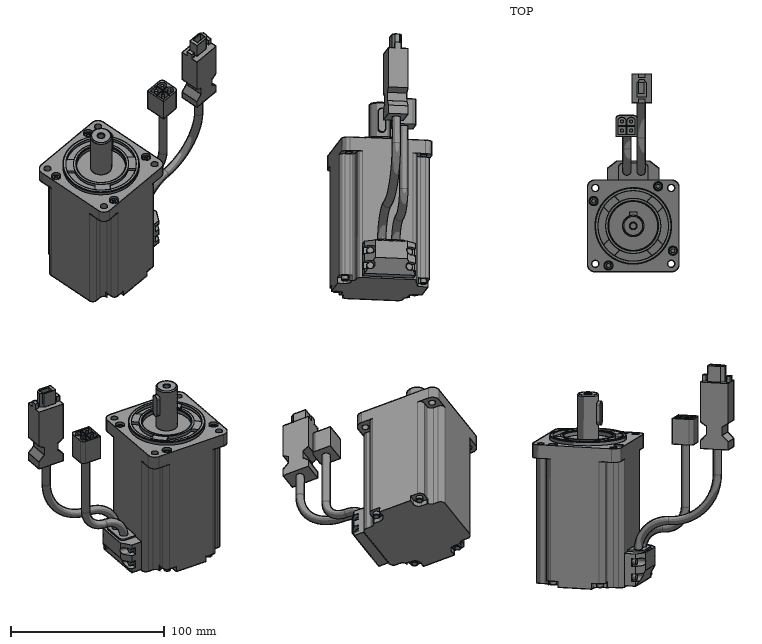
import cadquery as cq
import math


BODY_SIZE = 60.0
HALF_BODY = BODY_SIZE / 2
FLANGE_TOP = 94.0
FLANGE_THICKNESS = 9.0
FLANGE_BOTTOM = FLANGE_TOP - FLANGE_THICKNESS
FLANGE_CORNER_RADIUS = 5.0
MOUNT_CIRCLE_DIA = 70.0
MOUNT_HOLE_DIA = 4.5
MOUNT_OFFSET = MOUNT_CIRCLE_DIA / 2 * math.sqrt(0.5)
CORNER_ARC_RADIUS = 10.0 / 3

SCREW_OFFSET_LONG = 25.85
SCREW_OFFSET_SHORT = 16.2
CAP_SCREW_BORE_DIA = 6.0
CAP_SCREW_BORE_DEPTH = 5.0
CAP_SCREW_HEAD_DIA = 5.5
CAP_SCREW_HEAD_HEIGHT = 3.5
SCREW_HEAD_CHAMFER = 0.4
HEX_SIZE = 2.5
HEX_DEPTH = 1.3

PILOT_DIA = 50.0
PILOT_HEIGHT = 2.5
PILOT_TOP = FLANGE_TOP + PILOT_HEIGHT
PILOT_CHAMFER = 0.4
GROOVE_OUTER_DIA = 46.0
GROOVE_INNER_DIA = 36.0
GROOVE_DEPTH = 2.3
PAD_WIDTH = 10.0
PAD_DROP = 0.2
RECESS_DIA = 32.0
RECESS_DEPTH = 3.0
RECESS_CHAMFER = 0.5

SHAFT_DIA = 14.0
SHAFT_LENGTH = 30.0
SHAFT_TOP = FLANGE_TOP + SHAFT_LENGTH
SHAFT_CHAMFER = 0.8
TAP_DIA = 4.13
TAP_MOUTH_DIA = 5.0
TAP_DEPTH = 15.0
KEY_SIZE = 5.0
KEY_LENGTH = 16.0
KEY_OUTER_Y = 9.0
KEY_TOP = SHAFT_TOP - 4.5

REAR_NOTCH_HEIGHT = 3.85
REAR_NOTCH_X = 22.0
REAR_NOTCH_Y_NEAR = 11.5
REAR_NOTCH_Y_FAR = 20.0
REAR_NOTCH_RADIUS = 4.0
REAR_SCREW_X = 26.0
REAR_SCREW_Y = 16.0
REAR_SCREW_DIA = 4.5
REAR_SCREW_BOTTOM = 0.9

BOX_HALF_WIDTH = 16.9
BOX_OUTER_Y = 42.5
BOX_CHAMFER_X = 6.3
BOX_CHAMFER_Y = 4.9
BOX_BOTTOM = 1.0
BOX_TOP = 22.5
BOX_SLOPE_HEIGHT = 9.8
OUTLET_HALF_WIDTH = 9.7
OUTLET_OUTER_Y = 40.9
OUTLET_TOP = 23.6
OUTLET_CORNER_RADIUS = 3.0
BOX_SCREW_Z = (6.6, 16.7)
BOX_SCREW_X = 12.9
BOX_SLOT_WIDTH = 5.0
BOX_SLOT_FLOOR_Y = 34.6
BOX_SCREW_DIA = 4.5
BOX_SCREW_HEIGHT = 2.4

CABLE_DIA = 5.5
CABLE_START_Y = 35.7
CABLE_START_Z = 22.2
CONNECTOR_BOTTOM = FLANGE_TOP
POWER_CABLE_X = -4.15
POWER_BEND_RADIUS = 14.5
POWER_RISE_RADIUS = 15.0
ENCODER_CABLE_X = 5.15
ENCODER_BEND_RADIUS = 21.5
ENCODER_RISE_RADIUS = 32.5

POWER_X = -4.4
POWER_Y = 65.2
POWER_SIZE = 14.0
POWER_HEIGHT = 17.0
POWER_CORNER_RADIUS = 2.5
CAVITY_SIZE = 5.4
CAVITY_PITCH = 6.0
CAVITY_DEPTH = 8.0
PIN_DIA = 2.0

ENCODER_X = 5.55
ENCODER_WIDTH = 13.0
ENCODER_OUTER_Y = 99.15
ENCODER_DEPTH = 18.9
ENCODER_Y = ENCODER_OUTER_Y - ENCODER_DEPTH / 2
ENCODER_TOP = 138.1
WAIST_INSET = 4.1
WAIST_LOWER_START = 99.5
WAIST_LOWER_END = 103.5
WAIST_UPPER_START = 109.0
WAIST_UPPER_END = 111.7
TAB_WIDTH = 4.1
TAB_THICKNESS = 2.4
TAB_HEIGHT = 3.9
PLUG_WIDTH = 6.3
PLUG_Y_MIN = 84.1
PLUG_Y_MAX = 95.4
PLUG_TOP = 148.5
PLUG_CHAMFER_X = 1.7
PLUG_CHAMFER_Y = 2.4
SOCKET_X = 5.3
SOCKET_WIDTH = 3.7
SOCKET_Y_MIN = 86.3
SOCKET_Y_MAX = 93.5
SOCKET_DEPTH = 8.0


def box(x_range, y_range, z_range):
    """Axis-aligned block between the given limits."""
    (x0, x1), (y0, y1), (z0, z1) = x_range, y_range, z_range
    return cq.Workplane("XY", origin=(x0, y0, z0)).box(x1 - x0, y1 - y0, z1 - z0, centered=False)


def cylinder(x, y, dia, bottom, top):
    """Upright cylinder between two heights."""
    return cq.Workplane("XY", origin=(x, y, bottom)).circle(dia / 2).extrude(top - bottom)


def square_points(half_x, half_y):
    """The four points at the corners of a centred rectangle."""
    return [(sx * half_x, sy * half_y) for sx in (-1, 1) for sy in (-1, 1)]


def corner_scallop(top):
    """Material removed from the (+X, +Y) edge of the body: two rounded lips and a rounded valley."""
    r = CORNER_ARC_RADIUS
    bulge = r * math.sqrt(0.5)
    edge = HALF_BODY
    lip = edge - r
    valley = edge - 2 * r
    shoulder = edge - 3 * r
    root = edge - 4 * r
    outside = edge + r
    return (
        cq.Workplane("XY")
        .moveTo(outside, root)
        .lineTo(edge, root)
        .threePointArc((lip + bulge, root + bulge), (lip, shoulder))
        .lineTo(valley, shoulder)
        .threePointArc((valley - bulge, valley - bulge), (shoulder, valley))
        .lineTo(shoulder, lip)
        .threePointArc((root + bulge, lip + bulge), (root, edge))
        .lineTo(root, outside)
        .lineTo(outside, outside)
        .close()
        .extrude(top)
    )


def make_body():
    """Square body with a mounting flange at its top and scalloped edges below the flange."""
    body = cq.Workplane("XY").rect(BODY_SIZE, BODY_SIZE).extrude(FLANGE_TOP)
    body = body.edges("|Z").fillet(FLANGE_CORNER_RADIUS)
    scallop = corner_scallop(FLANGE_BOTTOM)
    for quarter in range(4):
        body = body.cut(scallop.rotate((0, 0, 0), (0, 0, 1), 90 * quarter))
    for x, y in square_points(MOUNT_OFFSET, MOUNT_OFFSET):
        body = body.cut(cylinder(x, y, MOUNT_HOLE_DIA, FLANGE_BOTTOM, FLANGE_TOP))
    return body


def add_cap_screws(body):
    """Four socket-head screws sunk in the flange face."""
    floor = FLANGE_TOP - CAP_SCREW_BORE_DEPTH
    head_top = floor + CAP_SCREW_HEAD_HEIGHT
    hex_corner_dia = HEX_SIZE / math.cos(math.pi / 6)
    x, y = SCREW_OFFSET_SHORT, SCREW_OFFSET_LONG
    bore = cylinder(x, y, CAP_SCREW_BORE_DIA, floor, FLANGE_TOP)
    head = cylinder(x, y, CAP_SCREW_HEAD_DIA, floor, head_top).faces(">Z").chamfer(SCREW_HEAD_CHAMFER)
    socket = cq.Workplane("XY", origin=(x, y, head_top)).polygon(6, hex_corner_dia).extrude(-HEX_DEPTH)
    socket = socket.rotate((x, y, 0), (x, y, 1), 90)
    bore = bore.cut(head.cut(socket))
    for quarter in range(4):
        body = body.cut(bore.rotate((0, 0, 0), (0, 0, 1), 90 * quarter))
    return body


def add_pilot(body):
    """Centring rim with a ring groove, four pads bridging the groove, and a central recess."""
    pilot = cylinder(0, 0, PILOT_DIA, FLANGE_TOP, PILOT_TOP).faces(">Z").chamfer(PILOT_CHAMFER)
    body = body.union(pilot)
    groove = (
        cq.Workplane("XY", origin=(0, 0, PILOT_TOP))
        .circle(GROOVE_OUTER_DIA / 2)
        .circle(GROOVE_INNER_DIA / 2)
        .extrude(-GROOVE_DEPTH)
    )
    for angle in (45, 135):
        pad = (
            cq.Workplane("XY", origin=(0, 0, PILOT_TOP - GROOVE_DEPTH))
            .rect(PILOT_DIA, PAD_WIDTH)
            .extrude(GROOVE_DEPTH - PAD_DROP)
            .rotate((0, 0, 0), (0, 0, 1), angle)
        )
        groove = groove.cut(pad)
    recess_floor = PILOT_TOP - RECESS_DEPTH
    recess = cylinder(0, 0, RECESS_DIA, recess_floor, PILOT_TOP)
    mouth_radius = RECESS_DIA / 2 + RECESS_CHAMFER
    mouth = cq.Solid.makeCone(
        mouth_radius, RECESS_DIA / 2, RECESS_CHAMFER, cq.Vector(0, 0, PILOT_TOP), cq.Vector(0, 0, -1)
    )
    return body.cut(groove).cut(recess).cut(cq.Workplane(mouth))


def make_shaft():
    """Keyed shaft with a tapped hole in its end."""
    shaft = cylinder(0, 0, SHAFT_DIA, FLANGE_BOTTOM, SHAFT_TOP).faces(">Z").chamfer(SHAFT_CHAMFER)
    shaft = shaft.cut(cylinder(0, 0, TAP_DIA, SHAFT_TOP - TAP_DEPTH, SHAFT_TOP))
    mouth_depth = (TAP_MOUTH_DIA - TAP_DIA) / 2
    mouth = cq.Solid.makeCone(
        TAP_MOUTH_DIA / 2, TAP_DIA / 2, mouth_depth, cq.Vector(0, 0, SHAFT_TOP), cq.Vector(0, 0, -1)
    )
    key = (
        cq.Workplane("XZ", origin=(0, KEY_OUTER_Y, KEY_TOP - KEY_LENGTH / 2))
        .slot2D(KEY_LENGTH, KEY_SIZE, 90)
        .extrude(KEY_SIZE)
    )
    return shaft.cut(cq.Workplane(mouth)).union(key)


def add_rear_screws(body):
    """Screw heads standing in notches that break out of the rear corners."""
    notch = box(
        (REAR_NOTCH_X, HALF_BODY), (REAR_NOTCH_Y_NEAR, REAR_NOTCH_Y_FAR), (0, REAR_NOTCH_HEIGHT)
    )
    notch = notch.edges("|Z and <X and <Y").fillet(REAR_NOTCH_RADIUS)
    head = cylinder(REAR_SCREW_X, REAR_SCREW_Y, REAR_SCREW_DIA, REAR_SCREW_BOTTOM, REAR_NOTCH_HEIGHT)
    head = head.faces("<Z").chamfer(SCREW_HEAD_CHAMFER)
    notch = notch.cut(head)
    notches = notch.union(notch.mirror("YZ"))
    notches = notches.union(notches.mirror("XZ"))
    return body.cut(notches)


def make_outlet_box():
    """Cable outlet with chamfered corners, a sloped underside and two screws on each side."""
    outlet = (
        cq.Workplane("XY", origin=(0, 0, BOX_BOTTOM))
        .moveTo(-BOX_HALF_WIDTH, HALF_BODY)
        .lineTo(-BOX_HALF_WIDTH, BOX_OUTER_Y - BOX_CHAMFER_Y)
        .lineTo(-BOX_HALF_WIDTH + BOX_CHAMFER_X, BOX_OUTER_Y)
        .lineTo(BOX_HALF_WIDTH - BOX_CHAMFER_X, BOX_OUTER_Y)
        .lineTo(BOX_HALF_WIDTH, BOX_OUTER_Y - BOX_CHAMFER_Y)
        .lineTo(BOX_HALF_WIDTH, HALF_BODY)
        .close()
        .extrude(BOX_TOP - BOX_BOTTOM)
    )
    slope = (
        cq.Workplane("YZ", origin=(-BOX_HALF_WIDTH, 0, 0))
        .moveTo(BOX_OUTER_Y - BOX_CHAMFER_Y, BOX_BOTTOM)
        .lineTo(BOX_OUTER_Y, BOX_BOTTOM)
        .lineTo(BOX_OUTER_Y, BOX_BOTTOM + BOX_SLOPE_HEIGHT)
        .close()
        .extrude(2 * BOX_HALF_WIDTH)
    )
    outlet = outlet.cut(slope)
    collar = box(
        (-OUTLET_HALF_WIDTH, OUTLET_HALF_WIDTH), (HALF_BODY, OUTLET_OUTER_Y), (BOX_TOP, OUTLET_TOP)
    )
    collar = collar.edges("|Z and >Y").fillet(OUTLET_CORNER_RADIUS)
    outlet = outlet.union(collar)
    for side in (-1, 1):
        for z in BOX_SCREW_Z:
            outlet = cut_box_screw(outlet, side, z)
    return outlet


def cut_box_screw(outlet, side, z):
    """Slot open to the side and front of the outlet box, with a screw head on its floor."""
    floor = cq.Workplane("XZ", origin=(side * BOX_SCREW_X, BOX_SLOT_FLOOR_Y, z))
    slot_depth = BOX_OUTER_Y - BOX_SLOT_FLOOR_Y
    round_end = floor.circle(BOX_SLOT_WIDTH / 2).extrude(-slot_depth)
    x_range = sorted((side * BOX_SCREW_X, side * BOX_HALF_WIDTH))
    z_range = (z - BOX_SLOT_WIDTH / 2, z + BOX_SLOT_WIDTH / 2)
    open_end = box(x_range, (BOX_SLOT_FLOOR_Y, BOX_OUTER_Y), z_range)
    head = floor.circle(BOX_SCREW_DIA / 2).extrude(-BOX_SCREW_HEIGHT)
    return outlet.cut(round_end.union(open_end)).union(head)


def make_cable(x, bend_radius, rise_radius):
    """Cable leaving the outlet upward, bending level toward +Y, then rising to its connector."""
    diagonal = math.sqrt(0.5)
    level_y = CABLE_START_Y + bend_radius
    level_z = CABLE_START_Z + bend_radius
    rise_y = level_y + rise_radius
    rise_z = level_z + rise_radius
    path = (
        cq.Workplane("YZ", origin=(x, 0, 0))
        .moveTo(CABLE_START_Y, CABLE_START_Z)
        .threePointArc(
            (level_y - bend_radius * diagonal, CABLE_START_Z + bend_radius * diagonal),
            (level_y, level_z),
        )
        .threePointArc(
            (level_y + rise_radius * diagonal, rise_z - rise_radius * diagonal), (rise_y, rise_z)
        )
        .lineTo(rise_y, CONNECTOR_BOTTOM)
    )
    return cq.Workplane("XY", origin=(x, CABLE_START_Y, CABLE_START_Z)).circle(CABLE_DIA / 2).sweep(path)


def make_power_connector():
    """Block with four pin cavities; the two cavities on the +Y side have round tops."""
    half = POWER_SIZE / 2
    top = CONNECTOR_BOTTOM + POWER_HEIGHT
    block = box(
        (POWER_X - half, POWER_X + half), (POWER_Y - half, POWER_Y + half), (CONNECTOR_BOTTOM, top)
    )
    block = block.edges("|Z and >Y").fillet(POWER_CORNER_RADIUS)
    floor = top - CAVITY_DEPTH
    half_cavity = CAVITY_SIZE / 2
    for dx, dy in square_points(CAVITY_PITCH / 2, CAVITY_PITCH / 2):
        x, y = POWER_X + dx, POWER_Y + dy
        y_max = y if dy > 0 else y + half_cavity
        cavity = box((x - half_cavity, x + half_cavity), (y - half_cavity, y_max), (floor, top))
        if dy > 0:
            cavity = cavity.union(cylinder(x, y, CAVITY_SIZE, floor, top))
        block = block.cut(cavity.cut(cylinder(x, y, PIN_DIA, floor, top)))
    return block


def make_encoder_connector():
    """Waisted housing carrying two latch tabs and a hollow plug."""
    half_width = ENCODER_WIDTH / 2
    half_depth = ENCODER_DEPTH / 2
    waist = half_depth - WAIST_INSET
    side_profile = [
        (half_depth, CONNECTOR_BOTTOM),
        (half_depth, WAIST_LOWER_START),
        (waist, WAIST_LOWER_END),
        (waist, WAIST_UPPER_START),
        (half_depth, WAIST_UPPER_END),
        (half_depth, ENCODER_TOP),
    ]
    mirrored = [(-y, z) for y, z in reversed(side_profile)]
    housing = (
        cq.Workplane("YZ", origin=(ENCODER_X - half_width, ENCODER_Y, 0))
        .polyline(side_profile + mirrored)
        .close()
        .extrude(ENCODER_WIDTH)
    )
    tab_offset = half_depth - TAB_THICKNESS / 2
    for side in (-1, 1):
        tab = cq.Workplane("XY", origin=(ENCODER_X, ENCODER_Y + side * tab_offset, ENCODER_TOP))
        housing = housing.union(tab.rect(TAB_WIDTH, TAB_THICKNESS).extrude(TAB_HEIGHT))
    return housing.union(make_plug())


def make_plug():
    """Plug with two bevelled edges on its +Y side and a rectangular socket."""
    half = PLUG_WIDTH / 2
    plug = (
        cq.Workplane("XY", origin=(ENCODER_X, 0, ENCODER_TOP))
        .moveTo(-half, PLUG_Y_MIN)
        .lineTo(half, PLUG_Y_MIN)
        .lineTo(half, PLUG_Y_MAX - PLUG_CHAMFER_Y)
        .lineTo(half - PLUG_CHAMFER_X, PLUG_Y_MAX)
        .lineTo(-half + PLUG_CHAMFER_X, PLUG_Y_MAX)
        .lineTo(-half, PLUG_Y_MAX - PLUG_CHAMFER_Y)
        .close()
        .extrude(PLUG_TOP - ENCODER_TOP)
    )
    half_socket = SOCKET_WIDTH / 2
    socket = box(
        (SOCKET_X - half_socket, SOCKET_X + half_socket),
        (SOCKET_Y_MIN, SOCKET_Y_MAX),
        (PLUG_TOP - SOCKET_DEPTH, PLUG_TOP),
    )
    return plug.cut(socket)


motor = add_pilot(add_cap_screws(make_body())).union(make_shaft())
motor = add_rear_screws(motor).union(make_outlet_box())
motor = motor.union(make_cable(POWER_CABLE_X, POWER_BEND_RADIUS, POWER_RISE_RADIUS))
motor = motor.union(make_cable(ENCODER_CABLE_X, ENCODER_BEND_RADIUS, ENCODER_RISE_RADIUS))
result = motor.union(make_power_connector()).union(make_encoder_connector())